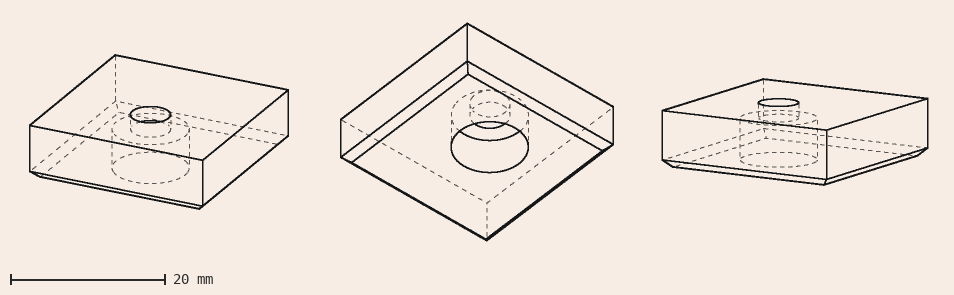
import cadquery as cq

side = 25.0
height = 7.5
bottom_chamfer = 1.0

hole_offset_y = -2.5
hole_diameter = 5.2
counterbore_diameter = 10.0
top_web_thickness = 2.0
counterbore_depth = height - top_web_thickness


def make_plate():
    """Square plate with its bottom outer edges chamfered."""
    plate = cq.Workplane("XY").box(side, side, height, centered=(True, True, False))
    return plate.faces("<Z").edges().chamfer(bottom_chamfer)


def make_bore(diameter, depth):
    """Cylinder rising from the underside at the hole centre."""
    return cq.Workplane("XY").center(0, hole_offset_y).circle(diameter / 2).extrude(depth)


through_hole = make_bore(hole_diameter, height)
counterbore = make_bore(counterbore_diameter, counterbore_depth)

result = make_plate().cut(through_hole).cut(counterbore)